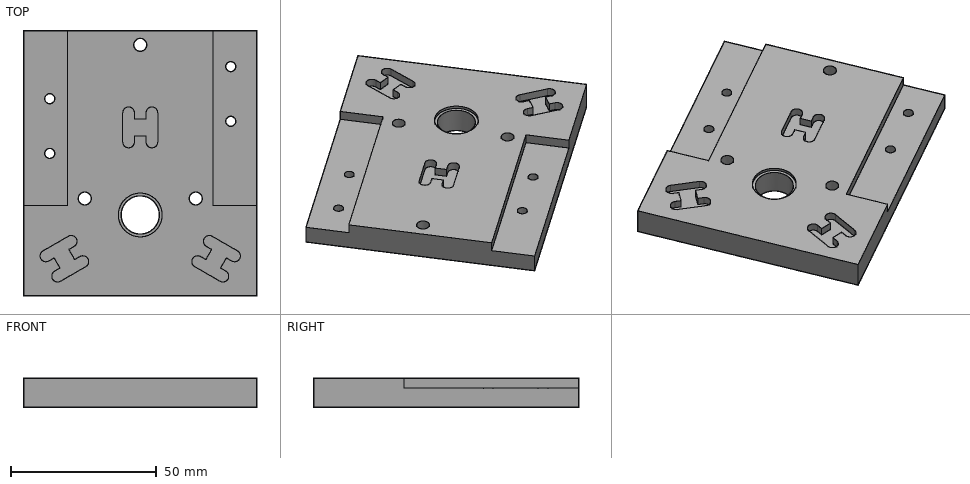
import cadquery as cq

plate_width = 80.0
plate_length = 91.0
plate_height = 10.0
rear_edge = plate_length / 2

ledge_width = 15.0
ledge_length = 60.0
ledge_drop = 3.5

bore_diameter = 13.0
counterbore_diameter = 15.0
counterbore_depth = 1.0
bore_y = rear_edge - 63.2

mount_diameter = 4.4
mount_rear_y = rear_edge - 4.9
mount_front_x = 19.0
mount_front_y = rear_edge - 57.6

ledge_hole_diameter = 3.4
ledge_hole_x = 31.0
ledge_hole_pitch = 18.75
left_pair_y = rear_edge - 23.4
right_pair_y = rear_edge - 12.4

pocket_count = 3
pocket_radius = 30.0
pocket_depth = 3.0
slot_length = 14.0
slot_width = 4.0
slot_pitch = 2 * slot_width
web_length = 5.8


def ledge_cut(side):
    """Return the material removed above one ledge; side is -1 or 1."""
    return (
        cq.Workplane("XY", origin=(0, 0, plate_height - ledge_drop))
        .center(side * (plate_width - ledge_width) / 2, rear_edge - ledge_length / 2)
        .rect(ledge_width, ledge_length)
        .extrude(ledge_drop)
    )


def through_holes(points, diameter):
    """Return vertical cylinders through the full plate height."""
    return cq.Workplane("XY").pushPoints(points).circle(diameter / 2).extrude(plate_height)


def h_pocket(angle):
    """Return an H pocket: two round-ended slots and a web, turned about the bore."""
    floor = cq.Workplane("XY", origin=(0, bore_y + pocket_radius, plate_height - pocket_depth))
    slots = (
        floor.pushPoints([(-slot_pitch / 2, 0), (slot_pitch / 2, 0)])
        .slot2D(slot_length, slot_width, 90)
        .extrude(pocket_depth)
    )
    web = floor.rect(slot_pitch, web_length).extrude(pocket_depth)
    return slots.union(web).rotate((0, bore_y, 0), (0, bore_y, 1), angle)


plate = cq.Workplane("XY").box(plate_width, plate_length, plate_height, centered=(True, True, False))

for side in (-1, 1):
    plate = plate.cut(ledge_cut(side))

plate = plate.cut(through_holes([(0, bore_y)], bore_diameter))
counterbore = (
    cq.Workplane("XY", origin=(0, bore_y, plate_height - counterbore_depth))
    .circle(counterbore_diameter / 2)
    .extrude(counterbore_depth)
)
plate = plate.cut(counterbore)

mount_points = [
    (0, mount_rear_y),
    (-mount_front_x, mount_front_y),
    (mount_front_x, mount_front_y),
]
plate = plate.cut(through_holes(mount_points, mount_diameter))

for hole_x, pair_y in ((-ledge_hole_x, left_pair_y), (ledge_hole_x, right_pair_y)):
    pair_points = [(hole_x, pair_y), (hole_x, pair_y - ledge_hole_pitch)]
    plate = plate.cut(through_holes(pair_points, ledge_hole_diameter))

for index in range(pocket_count):
    plate = plate.cut(h_pocket(index * 360 / pocket_count))

result = plate